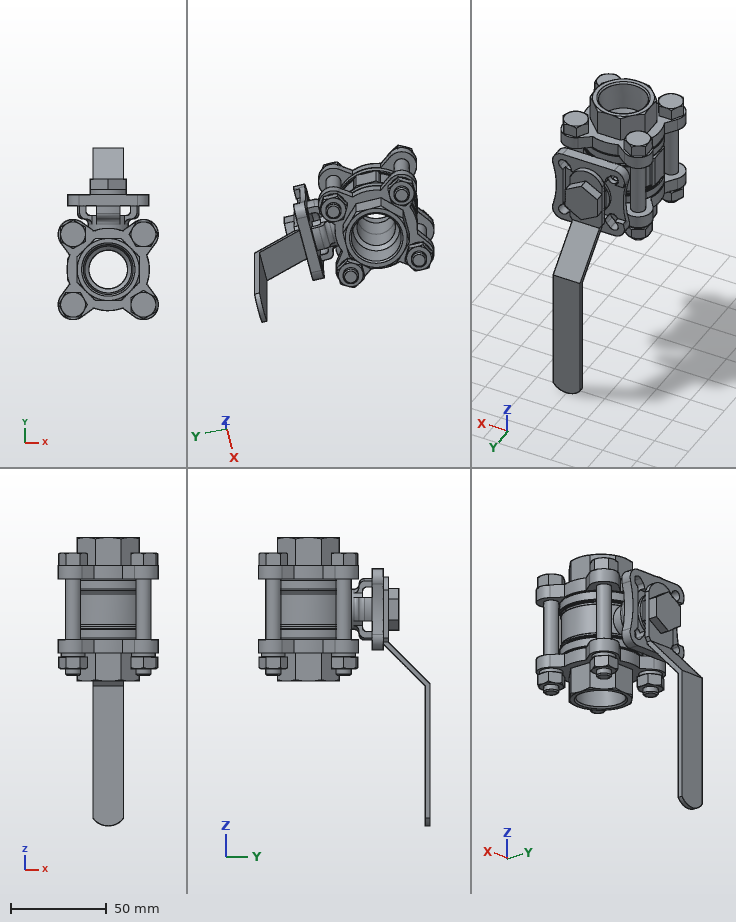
import cadquery as cq
import math


BORE_DIAMETER = 20.0
SOCKET_DIAMETER = 26.0
SOCKET_FLOOR_DIAMETER = 24.4
SOCKET_DEPTH = 16.0
SOCKET_CHAMFER = 0.9
END_HEIGHT = 37.5
OCTAGON_FLATS = 32.3
OCTAGON_CHAMFER_DROP = 0.8

CAP_BOTTOM = 15.8
CAP_TOP = 22.9
CAP_RADIUS = 21.5
CAP_ARC_HALF_WIDTH = 7.5
EAR_OFFSET = 18.4
EAR_RADIUS = 7.8

RIM_RADIUS = 21.5
RIM_TOP = 15.0
RIM_BOTTOM = 10.5
SEAM_RADIUS = 19.9
SEAM_TOP = 10.0
SEAM_BOTTOM = 9.0
SHOULDER_RADIUS = 21.0
SHOULDER_BOTTOM = 8.0
BODY_RADIUS = 20.8
PAD_FACE_X = -21.4
PAD_BASE_WIDTH = 14.6
PAD_FACE_WIDTH = 10.7
PAD_BASE_X = -19.3
PAD_EDGE_X = -20.3
PAD_EDGE_WIDTH = 13.5

BOLT_DIAMETER = 8.0
HEX_FLATS = 13.0
HEAD_TOP = 29.5
WASHER_DIAMETER = 12.5
WASHER_BOTTOM = -24.7
NUT_TOP = -25.0
NUT_BOTTOM = -31.0
BOLT_TIP = -34.5
TIP_CHAMFER = 0.8
HEX_CHAMFER_DROP = 0.6

NECK_DIAMETER = 21.0
NECK_TOP = 28.3
NECK_BOTTOM = 15.0
ARM_WIDTH = 12.3
ARM_OUTER_RADIUS = 16.1
ARM_INNER_RADIUS = 13.1
ARM_FOOT_Y = 23.8
ARM_OUTER_BEND = 3.0
ARM_INNER_BEND = 2.0
ARM_FOOT_FILLET = 2.5

MOUNT_BACK = 33.3
MOUNT_FRONT = 39.1
MOUNT_SIZE = 42.5
MOUNT_CORNER_RADIUS = 6.0
BITE_HALF_HEIGHT = 13.1
BITE_FLOOR_X = 19.0
RECESS_DEPTH = 3.0
RECESS_HALF_HEIGHT = 11.9
RECESS_END_X = 15.0
SLOT_WIDTH = 5.4
SLOT_RADII = (18.0, 21.0)

LEVER_THICKNESS = 2.7
PLATE_WIDTH = 19.0
PLATE_TIP = 17.0
PLATE_SHOULDER = 10.1
NARROWING_TOP = -15.0
BEND_Z = -17.2
GRIP_WIDTH = 16.0
GRIP_OUTER_Y = 63.5
LEVER_BOTTOM = -113.0
GRIP_TIP_HEIGHT = 4.0

STEM_DIAMETER = 10.1
STEM_NUT_FLATS = 19.0
STEM_NUT_FRONT = 47.1
LOCK_WASHER_DIAMETER = 23.5
LOCK_THICKNESS = 1.5

CORNERS = [(sx * EAR_OFFSET, sy * EAR_OFFSET) for sx in (-1, 1) for sy in (-1, 1)]


def cylinder_z(diameter, low, high):
    return cq.Workplane("XY").workplane(offset=low).circle(diameter / 2).extrude(high - low)


def cylinder_y(diameter, low, high):
    return cq.Workplane("XZ", origin=(0, low, 0)).circle(diameter / 2).extrude(low - high)


def box(x_range, y_range, z_range):
    """Axis-aligned block spanning the three (low, high) ranges."""
    (x0, x1), (y0, y1), (z0, z1) = x_range, y_range, z_range
    return cq.Workplane("XY").box(x1 - x0, y1 - y0, z1 - z0, centered=False).translate((x0, y0, z0))


def corner_cone(flats, corner_radius, drop, low, high):
    """Round blank whose conical top edge trims the corners of a polygonal prism."""
    run = corner_radius - flats / 2
    return cylinder_z(2 * corner_radius, low, high).faces(">Z").chamfer(drop, run)


def octagon_end():
    """Upper octagonal pipe end with its corners chamfered at the end face."""
    corner_radius = OCTAGON_FLATS / 2 / math.cos(math.pi / 8)
    prism = (
        cq.Workplane("XY").workplane(offset=CAP_BOTTOM)
        .polygon(8, 2 * corner_radius).extrude(END_HEIGHT - CAP_BOTTOM)
        .rotate((0, 0, 0), (0, 0, 1), 180 / 8)
    )
    return prism.intersect(
        corner_cone(OCTAGON_FLATS, corner_radius, OCTAGON_CHAMFER_DROP, CAP_BOTTOM, END_HEIGHT)
    )


def cap_flange():
    """Round flange with four bolt ears joined by flats tangent to the ears."""
    arc_y = math.sqrt(CAP_RADIUS**2 - CAP_ARC_HALF_WIDTH**2)
    to_arc_x = CAP_ARC_HALF_WIDTH - EAR_OFFSET
    to_arc_y = arc_y - EAR_OFFSET
    distance = math.hypot(to_arc_x, to_arc_y)
    angle = math.atan2(to_arc_y, to_arc_x) - math.acos(EAR_RADIUS / distance)
    tangent_x = EAR_OFFSET + EAR_RADIUS * math.cos(angle)
    tangent_y = EAR_OFFSET + EAR_RADIUS * math.sin(angle)
    ear_tip = EAR_OFFSET + EAR_RADIUS * math.sqrt(0.5)

    flange = cylinder_z(2 * CAP_RADIUS, CAP_BOTTOM, CAP_TOP)
    for quarter in range(4):
        ear = (
            cq.Workplane("XY").workplane(offset=CAP_BOTTOM)
            .lineTo(CAP_ARC_HALF_WIDTH, arc_y)
            .lineTo(tangent_x, tangent_y)
            .threePointArc((ear_tip, ear_tip), (tangent_y, tangent_x))
            .lineTo(arc_y, CAP_ARC_HALF_WIDTH)
            .close().extrude(CAP_TOP - CAP_BOTTOM)
        )
        flange = flange.union(ear.rotate((0, 0, 0), (0, 0, 1), 90 * quarter))
    return flange


def middle_body():
    """Turned body with a grooved rim at each end, and a flat marking pad on its -X side."""
    upper_half = (
        cylinder_z(2 * BODY_RADIUS, 0, SHOULDER_BOTTOM)
        .union(cylinder_z(2 * SHOULDER_RADIUS, SHOULDER_BOTTOM, SEAM_BOTTOM))
        .union(cylinder_z(2 * SEAM_RADIUS, SEAM_BOTTOM, SEAM_TOP))
        .union(cylinder_z(2 * BODY_RADIUS, SEAM_TOP, CAP_BOTTOM))
        .union(cylinder_z(2 * RIM_RADIUS, RIM_BOTTOM, RIM_TOP))
    )
    pad = (
        cq.Workplane("XY").workplane(offset=-SEAM_BOTTOM)
        .polyline([
            (0, -PAD_BASE_WIDTH / 2),
            (PAD_BASE_X, -PAD_BASE_WIDTH / 2),
            (PAD_EDGE_X, -PAD_EDGE_WIDTH / 2),
            (PAD_FACE_X, -PAD_FACE_WIDTH / 2),
            (PAD_FACE_X, PAD_FACE_WIDTH / 2),
            (PAD_EDGE_X, PAD_EDGE_WIDTH / 2),
            (PAD_BASE_X, PAD_BASE_WIDTH / 2),
            (0, PAD_BASE_WIDTH / 2),
        ])
        .close().extrude(2 * SEAM_BOTTOM)
    )
    return upper_half.union(upper_half.mirror("XY")).union(pad)


def hex_prism(low, high):
    """Hexagon with corners along X, its corners chamfered at the upper face."""
    corner_diameter = HEX_FLATS / math.cos(math.pi / 6)
    prism = cq.Workplane("XY").workplane(offset=low).polygon(6, corner_diameter).extrude(high - low)
    return prism.intersect(corner_cone(HEX_FLATS, corner_diameter / 2, HEX_CHAMFER_DROP, low, high))


def bolt():
    """Bolt on the Z axis with its head, washer and nut."""
    shank = cylinder_z(BOLT_DIAMETER, BOLT_TIP, CAP_TOP).faces("<Z").chamfer(TIP_CHAMFER)
    washer = cylinder_z(WASHER_DIAMETER, WASHER_BOTTOM, -CAP_TOP)
    nut = hex_prism(-NUT_TOP, -NUT_BOTTOM).mirror("XY")
    return shank.union(hex_prism(CAP_TOP, HEAD_TOP)).union(washer).union(nut)


def bracket():
    """Bell turned about the stem axis and cut into four arms, standing on a round neck."""
    foot_radius = NECK_DIAMETER / 2
    foot_fillet_x = foot_radius + ARM_FOOT_FILLET
    shelf_y = ARM_FOOT_Y + ARM_FOOT_FILLET
    outer_bend_x = ARM_OUTER_RADIUS - ARM_OUTER_BEND
    outer_bend_y = shelf_y + ARM_OUTER_BEND
    inner_bend_y = NECK_TOP + ARM_INNER_BEND
    diagonal = math.sqrt(0.5)
    bell = (
        cq.Workplane("XY")
        .moveTo(0, ARM_FOOT_Y)
        .lineTo(foot_radius, ARM_FOOT_Y)
        .threePointArc(
            (foot_fillet_x - ARM_FOOT_FILLET * diagonal, ARM_FOOT_Y + ARM_FOOT_FILLET * diagonal),
            (foot_fillet_x, shelf_y),
        )
        .threePointArc(
            (outer_bend_x + ARM_OUTER_BEND * diagonal, outer_bend_y - ARM_OUTER_BEND * diagonal),
            (ARM_OUTER_RADIUS, outer_bend_y),
        )
        .lineTo(ARM_OUTER_RADIUS, MOUNT_BACK)
        .lineTo(ARM_INNER_RADIUS, MOUNT_BACK)
        .lineTo(ARM_INNER_RADIUS, inner_bend_y)
        .threePointArc(
            (
                ARM_INNER_RADIUS - ARM_INNER_BEND * (1 - diagonal),
                inner_bend_y - ARM_INNER_BEND * diagonal,
            ),
            (ARM_INNER_RADIUS - ARM_INNER_BEND, NECK_TOP),
        )
        .lineTo(0, NECK_TOP)
        .close().revolve(360, (0, 0, 0), (0, 1, 0))
    )
    reach = (-ARM_OUTER_RADIUS, ARM_OUTER_RADIUS)
    width = (-ARM_WIDTH / 2, ARM_WIDTH / 2)
    height = (ARM_FOOT_Y, MOUNT_BACK)
    arms = bell.intersect(box(reach, height, width).union(box(width, height, reach)))
    return arms.union(cylinder_y(NECK_DIAMETER, NECK_BOTTOM, NECK_TOP))


def mounting_flange():
    """Square flange with concave X sides, diagonal bolt slots and a recess open at its -X side."""
    half = MOUNT_SIZE / 2
    thickness = MOUNT_FRONT - MOUNT_BACK
    lobe = half - MOUNT_CORNER_RADIUS
    lobe_tip = lobe + MOUNT_CORNER_RADIUS * math.sqrt(0.5)
    bite_x = lobe + math.sqrt(MOUNT_CORNER_RADIUS**2 - (lobe - BITE_HALF_HEIGHT) ** 2)
    plate = (
        cq.Workplane("XZ", origin=(0, MOUNT_FRONT, 0))
        .moveTo(-lobe, half)
        .lineTo(lobe, half)
        .threePointArc((lobe_tip, lobe_tip), (bite_x, BITE_HALF_HEIGHT))
        .threePointArc((BITE_FLOOR_X, 0), (bite_x, -BITE_HALF_HEIGHT))
        .threePointArc((lobe_tip, -lobe_tip), (lobe, -half))
        .lineTo(-lobe, -half)
        .threePointArc((-lobe_tip, -lobe_tip), (-bite_x, -BITE_HALF_HEIGHT))
        .threePointArc((-BITE_FLOOR_X, 0), (-bite_x, BITE_HALF_HEIGHT))
        .threePointArc((-lobe_tip, lobe_tip), (-lobe, half))
        .close().extrude(thickness)
    )
    recess = box(
        (-half, RECESS_END_X),
        (MOUNT_FRONT - RECESS_DEPTH, MOUNT_FRONT),
        (-RECESS_HALF_HEIGHT, RECESS_HALF_HEIGHT),
    )
    plate = plate.cut(recess)

    slot_length = SLOT_RADII[1] - SLOT_RADII[0] + SLOT_WIDTH
    for quarter in range(4):
        slot = (
            cq.Workplane("XZ", origin=(0, MOUNT_FRONT, 0))
            .center(sum(SLOT_RADII) / 2, 0)
            .slot2D(slot_length, SLOT_WIDTH).extrude(thickness)
            .rotate((0, 0, 0), (0, 1, 0), 45 + 90 * quarter)
        )
        plate = plate.cut(slot)
    return plate


def pipe_passage():
    """Ball bore through the valve, with a tapered and chamfered socket at each end."""
    bore_radius = BORE_DIAMETER / 2
    floor_radius = SOCKET_FLOOR_DIAMETER / 2
    mouth_radius = SOCKET_DIAMETER / 2
    floor_z = END_HEIGHT - SOCKET_DEPTH
    upper_half = (
        cq.Workplane("XZ")
        .lineTo(bore_radius, 0)
        .lineTo(bore_radius, floor_z - (floor_radius - bore_radius))
        .lineTo(floor_radius, floor_z)
        .lineTo(mouth_radius, END_HEIGHT - SOCKET_CHAMFER)
        .lineTo(mouth_radius + SOCKET_CHAMFER, END_HEIGHT)
        .lineTo(0, END_HEIGHT)
        .close().revolve(360, (0, 0, 0), (0, 1, 0))
    )
    return upper_half.union(upper_half.mirror("XY"))


def make_housing():
    end_piece = octagon_end().union(cap_flange())
    housing = middle_body().union(end_piece).union(end_piece.mirror("XY"))
    for x, y in CORNERS:
        turn = 0 if x * y > 0 else 90
        housing = housing.union(bolt().rotate((0, 0, 0), (0, 0, 1), turn).translate((x, y, 0)))
    housing = housing.union(bracket().union(mounting_flange()))
    housing = housing.cut(pipe_passage())
    return housing.cut(cylinder_y(STEM_DIAMETER, ARM_FOOT_Y, MOUNT_FRONT))


def make_lever():
    """Strip bent twice by 45 degrees, with a wide rounded plate around the stem."""
    plate_front = MOUNT_FRONT + LEVER_THICKNESS
    bend_shift = LEVER_THICKNESS * math.tan(math.pi / 8)
    slope_run = GRIP_OUTER_Y - plate_front
    grip_inner_y = GRIP_OUTER_Y - LEVER_THICKNESS
    grip_bend_z = BEND_Z - slope_run
    side = (
        cq.Workplane("YZ")
        .polyline([
            (MOUNT_FRONT, PLATE_TIP),
            (plate_front, PLATE_TIP),
            (plate_front, BEND_Z),
            (GRIP_OUTER_Y, grip_bend_z),
            (GRIP_OUTER_Y, LEVER_BOTTOM),
            (grip_inner_y, LEVER_BOTTOM),
            (grip_inner_y, grip_bend_z - bend_shift),
            (MOUNT_FRONT, BEND_Z - bend_shift),
        ])
        .close().extrude(PLATE_WIDTH / 2, both=True)
    )
    half_plate = PLATE_WIDTH / 2
    half_grip = GRIP_WIDTH / 2
    tip_corner_z = LEVER_BOTTOM + GRIP_TIP_HEIGHT
    face = (
        cq.Workplane("XZ")
        .moveTo(-half_plate, PLATE_SHOULDER)
        .threePointArc((0, PLATE_TIP), (half_plate, PLATE_SHOULDER))
        .lineTo(half_plate, NARROWING_TOP)
        .lineTo(half_grip, BEND_Z)
        .lineTo(half_grip, tip_corner_z)
        .threePointArc((0, LEVER_BOTTOM), (-half_grip, tip_corner_z))
        .lineTo(-half_grip, BEND_Z)
        .lineTo(-half_plate, NARROWING_TOP)
        .close().extrude(-GRIP_OUTER_Y)
    )
    return side.intersect(face).cut(cylinder_y(STEM_DIAMETER, MOUNT_FRONT, plate_front))


def stem_hexagon(low, high):
    """Hexagonal nut on the stem axis, with corners along Z."""
    corner_diameter = STEM_NUT_FLATS / math.cos(math.pi / 6)
    return (
        cq.Workplane("XZ", origin=(0, low, 0))
        .polygon(6, corner_diameter).extrude(low - high)
        .rotate((0, 0, 0), (0, 1, 0), 90)
    )


def make_stem():
    """Stem with a lock washer and a thin nut below the lever, and the lever nut above it."""
    lever_front = MOUNT_FRONT + LEVER_THICKNESS
    recess_floor = MOUNT_FRONT - RECESS_DEPTH
    lock_nut_back = MOUNT_FRONT - LOCK_THICKNESS
    stem = cylinder_y(STEM_DIAMETER, ARM_FOOT_Y, lever_front)
    washer = cylinder_y(LOCK_WASHER_DIAMETER, recess_floor, lock_nut_back)
    lock_nut = stem_hexagon(lock_nut_back, MOUNT_FRONT)
    return stem.union(washer).union(lock_nut).union(stem_hexagon(lever_front, STEM_NUT_FRONT))


housing = make_housing()
lever = make_lever()
stem = make_stem()

result = cq.Compound.makeCompound([housing.val(), lever.val(), stem.val()])